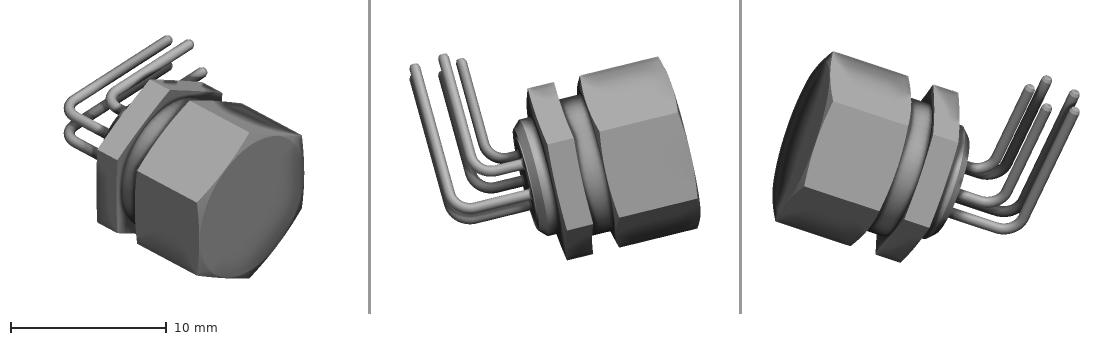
import cadquery as cq
import math


across_flats = 10.0
corner_radius = across_flats / math.sqrt(3)
outside_radius = corner_radius + 0.15

barrel_diameter = 7.7
barrel_bevel = 0.5
insert_diameter = 5.6
ring_groove_depth = 0.11
ring_groove_diameter = barrel_diameter - 2 * barrel_bevel

nut_start = 1.23
nut_thickness = 1.75
nut_slope = math.tan(math.radians(6))

neck_diameter = 9.0
body_start = 4.67
body_end = 10.3
body_face_diameter = 9.9
body_chamfer_slope = math.tan(math.radians(15))

pin_count = 5
pin_radius = 0.7 / 2
pin_circle_radius = 1.7
bend_radius = 1.35
leg_offset = 3.7
pin_root_depth = 0.47
tip_chamfer_length = 0.2
tip_chamfer_width = 0.1
collar_height = 0.13
collar_radius = 0.45
leg_tip_y = (8.96, 8.99, 9.02)


def turned(points):
    """Solid of revolution about X from (x, radius) points."""
    profile = cq.Workplane("XY").polyline(points).close()
    return profile.revolve(360, (0, 0, 0), (1, 0, 0))


def hexagon(start, end):
    """Hexagonal prism along X with corners at +Z and -Z."""
    corners = [
        (corner_radius * math.sin(math.radians(angle)), corner_radius * math.cos(math.radians(angle)))
        for angle in range(0, 360, 60)
    ]
    return cq.Workplane("YZ", origin=(start, 0, 0)).polyline(corners).close().extrude(end - start)


def make_barrel():
    """Bevelled barrel with a shallow ring groove, continuing as the neck."""
    insert_radius = insert_diameter / 2
    groove_radius = ring_groove_diameter / 2
    barrel_radius = barrel_diameter / 2
    neck_radius = neck_diameter / 2
    neck_start = nut_start + nut_thickness / 2
    return turned([
        (0, 0),
        (0, insert_radius),
        (ring_groove_depth, insert_radius),
        (ring_groove_depth, groove_radius - ring_groove_depth),
        (0, groove_radius),
        (barrel_bevel, barrel_radius),
        (neck_start, barrel_radius),
        (neck_start, neck_radius),
        (body_start, neck_radius),
        (body_start, 0),
    ])


def make_nut():
    """Thin hexagonal nut with a convex conical front and a dished back."""
    inner_radius = barrel_diameter / 2
    rise = nut_slope * (outside_radius - inner_radius)
    envelope = turned([
        (nut_start, 0),
        (nut_start, inner_radius),
        (nut_start + rise, outside_radius),
        (nut_start + rise + nut_thickness, outside_radius),
        (nut_start + nut_thickness, inner_radius),
        (nut_start + nut_thickness, 0),
    ])
    return hexagon(nut_start, nut_start + rise + nut_thickness).intersect(envelope)


def make_body():
    """Main hexagon with its corners chamfered conically at both ends."""
    face_radius = body_face_diameter / 2
    setback = body_chamfer_slope * (outside_radius - face_radius)
    envelope = turned([
        (body_start, 0),
        (body_start, face_radius),
        (body_start + setback, outside_radius),
        (body_end - setback, outside_radius),
        (body_end, face_radius),
        (body_end, 0),
    ])
    return hexagon(body_start, body_end).intersect(envelope)


def make_pin(y, z, tip_y):
    """Bent pin with a conical collar at its root and a chamfered tip."""
    leg_x = y - leg_offset
    bend_x = leg_x + bend_radius
    bend_y = y + bend_radius
    bend_mid = bend_radius * math.sqrt(0.5)
    path = (
        cq.Workplane("XY", origin=(0, 0, z))
        .moveTo(pin_root_depth, y)
        .lineTo(bend_x, y)
        .threePointArc((bend_x - bend_mid, bend_y - bend_mid), (leg_x, bend_y))
        .lineTo(leg_x, tip_y)
    )
    wire = cq.Workplane("YZ", origin=(pin_root_depth, y, z)).circle(pin_radius).sweep(path)
    wire = wire.faces(">Y").chamfer(tip_chamfer_length, tip_chamfer_width)
    collar = cq.Solid.makeCone(
        pin_radius, collar_radius, collar_height, cq.Vector(-collar_height, y, z), cq.Vector(1, 0, 0)
    )
    return wire.union(cq.Workplane(collar))


result = make_barrel().union(make_nut()).union(make_body())
for index in range(pin_count):
    pin_angle = 2 * math.pi * index / pin_count
    steps_from_first = min(index, pin_count - index)
    pin_y = pin_circle_radius * math.cos(pin_angle)
    pin_z = pin_circle_radius * math.sin(pin_angle)
    result = result.union(make_pin(pin_y, pin_z, leg_tip_y[steps_from_first]))